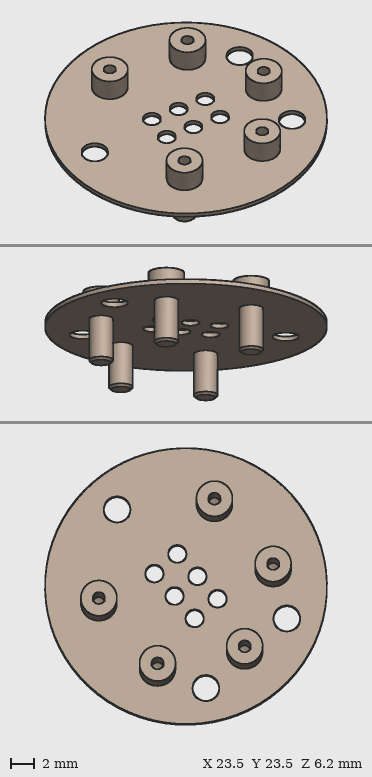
import cadquery as cq
import math

plate_diameter = 23.52
plate_sides = 72
plate_thickness = 0.4

grid_pitch = 2.55
grid_columns = 2
grid_rows = 3
grid_hole_diameter = 1.5
mount_hole_diameter = 2.2
upper_mount_x = 4.5
upper_mount_y = 7.62
lower_mount_y = -8.7

pin_circle_radius = 7.4
pin_angles = (-30, 30, 90, 150, 210)
head_diameter = 3.0
head_height = 2.0
shank_diameter = 2.0
total_height = 6.2
tip_chamfer = 0.2
bore_diameter = 1.0
bore_depth = head_height
bore_point_angle = 118.0

head_top_z = plate_thickness + head_height
shank_tip_z = head_top_z - total_height

pin_centers = [
    (pin_circle_radius * math.cos(math.radians(a)), pin_circle_radius * math.sin(math.radians(a)))
    for a in pin_angles
]


def make_plate():
    """Thin many-sided plate with a grid of holes, three mounting holes and a seat hole for each pin."""
    mount_centers = [(-upper_mount_x, upper_mount_y), (upper_mount_x, upper_mount_y), (0, lower_mount_y)]
    plate = cq.Workplane("XY").polygon(plate_sides, plate_diameter).extrude(plate_thickness)
    grid_holes = (
        cq.Workplane("XY")
        .rarray(grid_pitch, grid_pitch, grid_columns, grid_rows)
        .circle(grid_hole_diameter / 2)
        .extrude(plate_thickness)
    )
    mount_holes = (
        cq.Workplane("XY").pushPoints(mount_centers).circle(mount_hole_diameter / 2).extrude(plate_thickness)
    )
    pin_holes = cq.Workplane("XY").pushPoints(pin_centers).circle(shank_diameter / 2).extrude(plate_thickness)
    return plate.cut(grid_holes).cut(mount_holes).cut(pin_holes)


def make_pin(center):
    """Headed pin with a chamfered tip and a drilled blind bore, revolved about its own axis."""
    head_radius = head_diameter / 2
    shank_radius = shank_diameter / 2
    bore_radius = bore_diameter / 2
    bore_floor_z = head_top_z - bore_depth
    bore_point_z = bore_floor_z - bore_radius / math.tan(math.radians(bore_point_angle / 2))
    half_profile = [
        (0, shank_tip_z),
        (shank_radius - tip_chamfer, shank_tip_z),
        (shank_radius, shank_tip_z + tip_chamfer),
        (shank_radius, plate_thickness),
        (head_radius, plate_thickness),
        (head_radius, head_top_z),
        (bore_radius, head_top_z),
        (bore_radius, bore_floor_z),
        (0, bore_point_z),
    ]
    pin = cq.Workplane("XZ").polyline(half_profile).close().revolve(360, (0, 0), (0, 1))
    return pin.translate((*center, 0))


plate = make_plate()
pins = [make_pin(center) for center in pin_centers]

result = cq.Compound.makeCompound([plate.val(), *[pin.val() for pin in pins]])